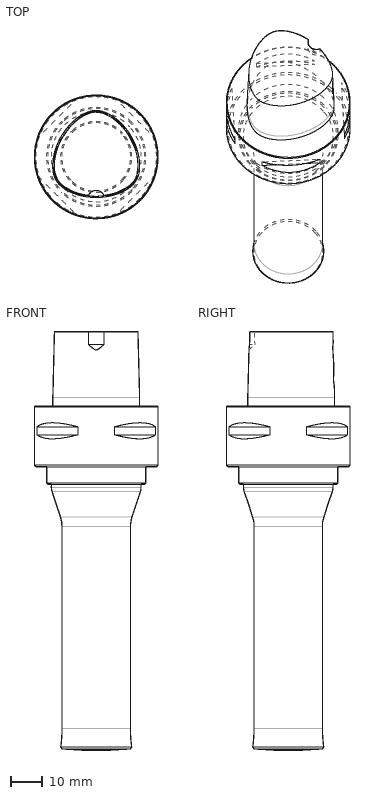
import cadquery as cq
import math

total_height = 135.0
flange_top = 111.0
flange_bottom = 91.4
collar_bottom = 85.7
slot_height = 103.0

shank_base_radius = 14.0
shank_top_radius = 13.5
lobe_height = 1.0
straight_base_height = 2.8

notch_radius = 2.7
notch_axis_distance = 13.5
notch_depth = 4.2
notch_tip_length = 2.4

flange_diameter = 40.0
flange_top_chamfer = 0.3
flange_bottom_chamfer = 0.5
collar_diameter = 32.0
collar_chamfer = 0.4

slot_count = 4
slot_first_angle = 45.0
slot_floor_width = 2.5
slot_depth = 2.3
slot_wall_angle = 30.0

neck_diameter = 29.0
neck_bottom = 84.1
neck_fillet = 4.0
bar_diameter = 22.1
cone_bottom = 73.7
cone_fillet = 9.5
flare_start = 7.0
flare_diameter = 23.0
flare_end = 1.1
end_bevel_height = 0.4
end_face_diameter = 8.9


def lobed_outline(mean_radius):
    """Constant-width three-lobed curve with one lobe pointing to +Y."""
    def point(fraction):
        angle = 2 * math.pi * fraction
        reach = mean_radius - lobe_height * math.sin(3 * angle)
        slope = -3 * lobe_height * math.cos(3 * angle)
        x = reach * math.cos(angle) - slope * math.sin(angle)
        y = reach * math.sin(angle) + slope * math.cos(angle)
        return (x, y)
    return point


def make_shank():
    """Lobed prism on the flange, continued by a tapered lobed plug."""
    taper_start = flange_top + straight_base_height
    base_curve = lobed_outline(shank_base_radius)
    top_curve = lobed_outline(shank_top_radius)
    prism = (
        cq.Workplane("XY", origin=(0, 0, flange_top))
        .parametricCurve(base_curve)
        .extrude(straight_base_height)
    )
    taper_height = total_height - taper_start
    plug = (
        cq.Workplane("XY", origin=(0, 0, taper_start))
        .parametricCurve(base_curve)
        .workplane(offset=taper_height)
        .parametricCurve(top_curve)
        .loft(ruled=True)
    )
    return prism.union(plug)


def make_notch():
    """Vertical drilled pocket with a pointed bottom, open to the -Y side."""
    floor = total_height - notch_depth
    return (
        cq.Workplane("XZ")
        .moveTo(0, total_height)
        .lineTo(notch_radius, total_height)
        .lineTo(notch_radius, floor)
        .lineTo(0, floor - notch_tip_length)
        .close()
        .revolve(360, (0, 0), (0, 1))
        .translate((0, -notch_axis_distance, 0))
    )


def make_slot(angle):
    """Straight gripper slot cut across the flange rim at the given angle."""
    flange_radius = flange_diameter / 2
    floor_distance = flange_radius - slot_depth
    floor_half = slot_floor_width / 2
    mouth_half = floor_half + slot_depth * math.tan(math.radians(slot_wall_angle))
    return (
        cq.Workplane("XZ")
        .moveTo(floor_distance, slot_height - floor_half)
        .lineTo(flange_radius, slot_height - mouth_half)
        .lineTo(flange_radius, slot_height + mouth_half)
        .lineTo(floor_distance, slot_height + floor_half)
        .close()
        .extrude(flange_radius, both=True)
        .rotate((0, 0, 0), (0, 0, 1), angle)
    )


def make_holder():
    """Lobed shank, slotted flange and collar."""
    flange = (
        cq.Workplane("XY", origin=(0, 0, flange_bottom))
        .circle(flange_diameter / 2)
        .extrude(flange_top - flange_bottom)
        .faces(">Z").edges()
        .chamfer(flange_top_chamfer)
        .faces("<Z").edges()
        .chamfer(flange_bottom_chamfer)
    )
    collar = (
        cq.Workplane("XY", origin=(0, 0, collar_bottom))
        .circle(collar_diameter / 2)
        .extrude(flange_bottom - collar_bottom)
        .faces("<Z").edges()
        .chamfer(collar_chamfer)
    )
    holder = flange.union(collar).union(make_shank()).cut(make_notch())
    for index in range(slot_count):
        holder = holder.cut(make_slot(slot_first_angle + index * 360 / slot_count))
    return holder


def make_bar():
    """Turned bar: neck, cone, long cylinder and gently flared, bevelled end."""
    neck_radius = neck_diameter / 2
    bar_radius = bar_diameter / 2
    bar = (
        cq.Workplane("XZ")
        .moveTo(0, collar_bottom)
        .lineTo(neck_radius, collar_bottom)
        .lineTo(neck_radius, neck_bottom)
        .lineTo(bar_radius, cone_bottom)
        .lineTo(bar_radius, flare_start)
        .tangentArcPoint((flare_diameter / 2, flare_end), relative=False)
        .lineTo(bar_radius, end_bevel_height)
        .lineTo(end_face_diameter / 2, 0)
        .lineTo(0, 0)
        .close()
        .revolve(360, (0, 0), (0, 1))
    )

    def ring_at(height):
        margin = 0.1
        reach = neck_diameter
        low_corner = (-reach, -reach, height - margin)
        high_corner = (reach, reach, height + margin)
        return cq.selectors.BoxSelector(low_corner, high_corner, boundingbox=True)

    bar = bar.edges(ring_at(cone_bottom)).fillet(cone_fillet)
    return bar.edges(ring_at(neck_bottom)).fillet(neck_fillet)


holder = make_holder()
bar = make_bar()
result = cq.Compound.makeCompound([holder.val(), bar.val()])